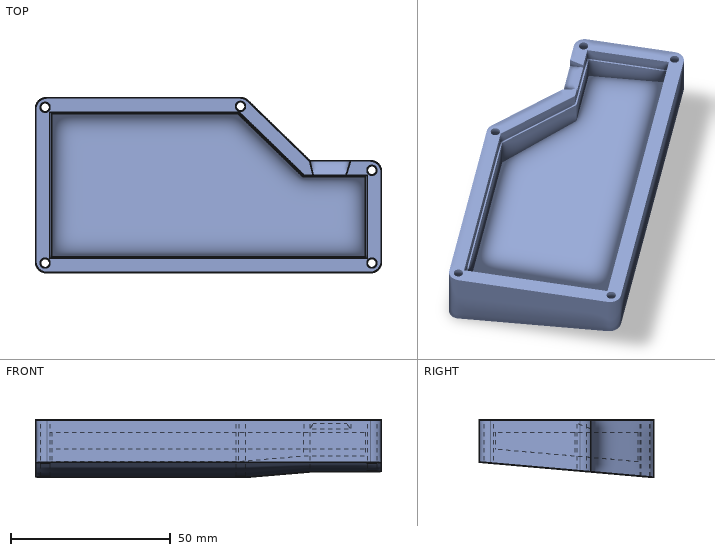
import cadquery as cq
import math

LENGTH = 108.16
WIDTH = 54.7
SHORT_WIDTH = 35.0
SLANT_BACK_X = 65.4
SLANT_FRONT_X = 85.7
CORNER_RADIUS = 3.5

HEIGHT = 17.99
TILT_ANGLE = 5.0
UNDERSIDE_SLOPE = math.tan(math.radians(TILT_ANGLE))
UNDERSIDE_FRONT_Z = WIDTH * UNDERSIDE_SLOPE

RIM_WIDTH = 4.5
RECESS_DEPTH = 3.9
LEDGE = 0.5
FLOOR_THICKNESS = 4.6

HOLE_DIAMETER = 2.9
HOLE_INSET = 3.0
SLANT_HOLE_X = 64.1
SLANT_HOLE_INSET = 2.7

NOTCH_OUTER_RIGHT_X = 98.5
NOTCH_INNER_LEFT_X = 86.8
NOTCH_INNER_RIGHT_X = 97.1
NOTCH_INNER_DEPTH = 1.0
NOTCH_OUTER_DEPTH = 2.75


def outline(inset):
    """Corner points of the outline moved inwards by the inset."""
    slant_run = SLANT_FRONT_X - SLANT_BACK_X
    slant_rise = WIDTH - SHORT_WIDTH
    run_per_rise = slant_run / slant_rise
    slant_shift = inset * (math.hypot(slant_run, slant_rise) / slant_rise - run_per_rise)
    return [
        (inset, inset),
        (LENGTH - inset, inset),
        (LENGTH - inset, SHORT_WIDTH - inset),
        (SLANT_FRONT_X - slant_shift, SHORT_WIDTH - inset),
        (SLANT_BACK_X - slant_shift, WIDTH - inset),
        (inset, WIDTH - inset),
    ]


def prism(points, bottom, top):
    """Upright prism over a plan outline."""
    return cq.Workplane("XY").workplane(offset=bottom).polyline(points).close().extrude(top - bottom)


def above_tilted_plane(front_z):
    """Wedge over the whole plan, bounded below by a plane parallel to the underside."""
    profile = [
        (0, front_z),
        (WIDTH, front_z - WIDTH * UNDERSIDE_SLOPE),
        (WIDTH, HEIGHT),
        (0, HEIGHT),
    ]
    return cq.Workplane("YZ").polyline(profile).close().extrude(LENGTH)


def make_body():
    block = prism(outline(0), 0, HEIGHT)
    rounded_corners = [
        (0, 0),
        (LENGTH, 0),
        (LENGTH, SHORT_WIDTH),
        (SLANT_BACK_X, WIDTH),
        (0, WIDTH),
    ]
    for x, y in rounded_corners:
        nearest = cq.selectors.NearestToPointSelector((x, y, HEIGHT / 2))
        block = block.edges("|Z").edges(nearest).fillet(CORNER_RADIUS)
    return block.intersect(above_tilted_plane(UNDERSIDE_FRONT_Z))


def make_cavity():
    recess = prism(outline(RIM_WIDTH), HEIGHT - RECESS_DEPTH, HEIGHT)
    pocket = prism(outline(RIM_WIDTH + LEDGE), 0, HEIGHT)
    sloped_pocket = pocket.intersect(above_tilted_plane(UNDERSIDE_FRONT_Z + FLOOR_THICKNESS))
    return recess.union(sloped_pocket)


def make_holes():
    centres = [
        (HOLE_INSET, HOLE_INSET),
        (LENGTH - HOLE_INSET, HOLE_INSET),
        (LENGTH - HOLE_INSET, SHORT_WIDTH - HOLE_INSET),
        (SLANT_HOLE_X, WIDTH - SLANT_HOLE_INSET),
        (HOLE_INSET, WIDTH - HOLE_INSET),
    ]
    return cq.Workplane("XY").pushPoints(centres).circle(HOLE_DIAMETER / 2).extrude(HEIGHT)


def make_notch():
    """Notch tapering inwards in plan, its floor falling towards the outside."""
    inner_y = SHORT_WIDTH - RIM_WIDTH
    plan = [
        (SLANT_FRONT_X, SHORT_WIDTH),
        (NOTCH_OUTER_RIGHT_X, SHORT_WIDTH),
        (NOTCH_INNER_RIGHT_X, inner_y),
        (NOTCH_INNER_LEFT_X, inner_y),
    ]
    section = [
        (inner_y, HEIGHT - NOTCH_INNER_DEPTH),
        (SHORT_WIDTH, HEIGHT - NOTCH_OUTER_DEPTH),
        (SHORT_WIDTH, HEIGHT),
        (inner_y, HEIGHT),
    ]
    sloped_floor_cut = cq.Workplane("YZ").polyline(section).close().extrude(LENGTH)
    return prism(plan, 0, HEIGHT).intersect(sloped_floor_cut)


result = make_body().cut(make_cavity()).cut(make_holes()).cut(make_notch())